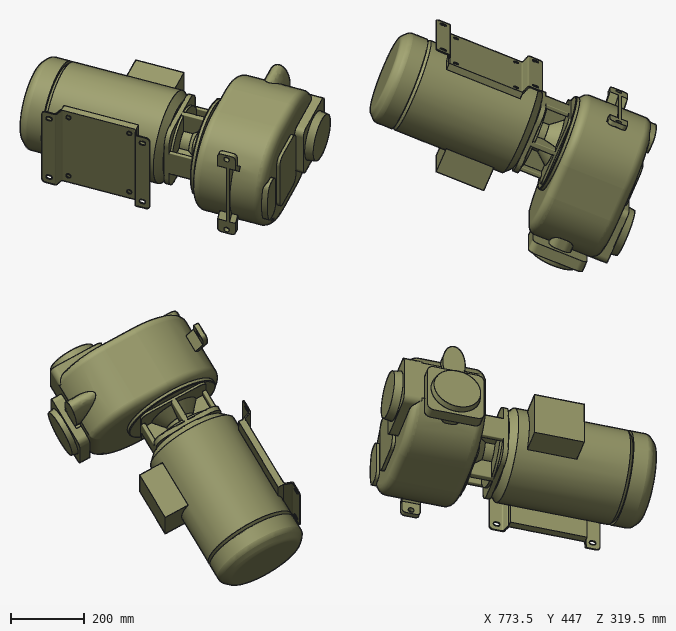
import cadquery as cq
import math


MOTOR_RADIUS = 131.0
MOTOR_LENGTH = 416.0
FREE_END_CHAMFER, FREE_END_ROUND = 21.0, 18.5
DRIVE_END_CHAMFER = 20.0
GROOVE_START, GROOVE_END, GROOVE_DEPTH = 71.0, 80.5, 8.5
BOX_START, BOX_END = 226.0, 366.0
BOX_WIDTH = 140.0
BOX_FACE_Y = 182.0

SUPPORT_Y = -159.0
BASE_HEIGHT = 2 * MOTOR_RADIUS
BASE_MID_X = 240.0
SHEET = 3.0
DECK_Y = -136.0
BLOCK_BACK_Y = -117.0
BLOCK_HALF_LENGTH = 108.0
BASE_HALF_LENGTH = 156.0
LEG_FOOT_OFFSET = 117.5
LEG_DECK_OFFSET = 110.0
BEND_RADIUS = 5.0
FOOT_CORNER = 11.5
BASE_HOLE_Z = 108.0
DECK_HOLE_OFFSET, DECK_HOLE_DIAMETER = 88.0, 14.0
SLOT_OFFSET, SLOT_LENGTH, SLOT_WIDTH = 135.0, 18.0, 13.0

BRACKET_HALF = 100.5
MOTOR_PLATE_THICKNESS, MOTOR_PLATE_CORNER = 14.0, 40.0
LOCATING_RING_RADIUS, LOCATING_RING_END = 97.5, 437.0
PAD_START, PAD_CORNER = 497.0, 23.0
DISC_START, DISC_RADIUS, DISC_CHAMFER = 504.0, 135.0, 2.0
HUB_RADIUS, HUB_END = 42.0, 464.0
CONE_END_RADIUS = 76.0
RIB_THICKNESS, RIB_ROUND = 15.0, 2.0
SIDE_PLATE_THICKNESS, SIDE_PLATE_WIDTH = 11.0, 77.0

CASING_START, CASING_END = 515.0, 725.0
CASING_RADIUS = 157.0
CASING_Z = -17.0
CASING_BACK_CENTER_Y = 97.5
CASING_FLAT_Y = 240.5
CASING_ROUND = 25.0

FLANGE_SIZE, FLANGE_CORNER = 159.0, 18.5
SPIGOT_BASE_RADIUS, SPIGOT_END_RADIUS = 70.0, 66.0
SUCTION_Y, SUCTION_FACE_X, SUCTION_END_X = 161.0, 750.0, 773.5
DISCHARGE_X, DISCHARGE_Z = 614.0, -67.0
DISCHARGE_FACE_Y, DISCHARGE_END_Y = 271.5, 288.0

DUCT_WIDTH, DUCT_END_Y = 63.5, 255.0
DUCT_TOP_Z, CROWN_HALF_HEIGHT = 117.5, 62.0
DUCT_SHOULDER_Z, DUCT_BOTTOM_Z, DUCT_BOTTOM_ROUND = 13.0, -128.0, 22.5

PAD_FACE_X = 734.0
COVER_Y, COVER_WIDTH, COVER_HEIGHT, COVER_CORNER = 6.0, 122.0, 181.0, 23.0
LOWER_PAD_RADIUS, LOWER_PAD_TOP_Y, LOWER_PAD_HEIGHT, LOWER_PAD_CORNER = 150.0, -87.5, 131.5, 22.0

FOOT_X, FOOT_WIDTH, FOOT_THICKNESS, FOOT_LEG_REACH = 619.5, 52.0, 14.0, 35.0
FOOT_BEND_Z, FOOT_BEND_ANGLE = 98.0, 45.0
UPPER_FOOT_END_Z, LOWER_FOOT_END_Z = 145.5, -143.0
FOOT_HOLE_Z, FOOT_HOLE_DIAMETER = 130.0, 15.5
WEB_X, WEB_THICKNESS, WEB_BACK_Y = 623.5, 9.0, -108.0

INSIDE_CASING_X = 657.5
INSIDE_CASING_Y = 155.0


def box(x_range, y_range, z_range):
    """Box spanning the given limits along X, Y and Z."""
    lows, highs = zip(x_range, y_range, z_range)
    lengths = [high - low for low, high in zip(lows, highs)]
    return cq.Workplane("XY").box(*lengths, centered=False).translate(lows)


def disc(x_start, x_end, radius):
    """Cylinder along X, centred on the motor axis."""
    return cq.Workplane("YZ", origin=(x_start, 0, 0)).circle(radius).extrude(x_end - x_start)


def rounded_plate(x_start, x_end, y, z, width, height, corner):
    """Plate across X with its four corners rounded."""
    plate = cq.Workplane("YZ", origin=(x_start, y, z)).rect(width, height).extrude(x_end - x_start)
    return plate.edges("|X").fillet(corner)


def motor():
    body = disc(0, MOTOR_LENGTH, MOTOR_RADIUS)
    body = body.faces("<X").edges().chamfer(FREE_END_CHAMFER)
    free_end = cq.selectors.BoxSelector(
        (-GROOVE_START, -MOTOR_RADIUS, -MOTOR_RADIUS), (GROOVE_START, MOTOR_RADIUS, MOTOR_RADIUS)
    )
    body = body.edges("%CIRCLE").edges(free_end).fillet(FREE_END_ROUND)
    body = body.faces(">X").edges().chamfer(DRIVE_END_CHAMFER)
    groove_profile = [
        (GROOVE_START, MOTOR_RADIUS - GROOVE_DEPTH),
        (GROOVE_START, MOTOR_RADIUS),
        (GROOVE_END, MOTOR_RADIUS),
    ]
    groove = cq.Workplane("XY").polyline(groove_profile).close().revolve(360, (0, 0, 0), (1, 0, 0))
    terminal_box = box((BOX_START, BOX_END), (0, BOX_FACE_Y), (-BOX_WIDTH / 2, BOX_WIDTH / 2))
    return body.cut(groove).union(terminal_box)


def base_foot():
    """One bent foot of the base sheet, on the +X side of the base centre."""
    points = [
        (0, DECK_Y),
        (LEG_DECK_OFFSET - SHEET, DECK_Y),
        (LEG_FOOT_OFFSET - SHEET, SUPPORT_Y),
        (BASE_HALF_LENGTH, SUPPORT_Y),
        (BASE_HALF_LENGTH, SUPPORT_Y + SHEET),
        (LEG_FOOT_OFFSET, SUPPORT_Y + SHEET),
        (LEG_DECK_OFFSET, DECK_Y + SHEET),
        (0, DECK_Y + SHEET),
    ]
    sheet = cq.Workplane("XY", origin=(0, 0, -BASE_HEIGHT / 2)).polyline(points).close().extrude(BASE_HEIGHT)
    margin = 2 * SHEET
    bends = cq.selectors.BoxSelector(
        (LEG_DECK_OFFSET - margin, SUPPORT_Y - margin, -margin),
        (LEG_FOOT_OFFSET + margin, DECK_Y + margin, margin),
    )
    sheet = sheet.edges("|Z").edges(bends).fillet(BEND_RADIUS)
    return sheet.faces(">X").edges("|Y").fillet(FOOT_CORNER)


def motor_base():
    foot = base_foot()
    block = box(
        (-BLOCK_HALF_LENGTH, BLOCK_HALF_LENGTH), (DECK_Y, BLOCK_BACK_Y), (-BASE_HEIGHT / 2, BASE_HEIGHT / 2)
    )
    base = block.union(foot).union(foot.mirror("YZ"))
    front = cq.Workplane("XZ", origin=(0, SUPPORT_Y, 0))
    signs = [(i, j) for i in (-1, 1) for j in (-1, 1)]
    slots = front.pushPoints([(i * SLOT_OFFSET, j * BASE_HOLE_Z) for i, j in signs])
    slots = slots.slot2D(SLOT_LENGTH, SLOT_WIDTH).extrude(-SHEET)
    holes = front.pushPoints([(i * DECK_HOLE_OFFSET, j * BASE_HOLE_Z) for i, j in signs])
    holes = holes.circle(DECK_HOLE_DIAMETER / 2).extrude(SUPPORT_Y - DECK_Y - SHEET)
    return base.cut(slots).cut(holes).translate((BASE_MID_X, 0, 0))


def bracket():
    side = 2 * BRACKET_HALF
    plate_end = MOTOR_LENGTH + MOTOR_PLATE_THICKNESS
    body = rounded_plate(MOTOR_LENGTH, plate_end, 0, 0, side, side, MOTOR_PLATE_CORNER)
    body = body.union(disc(plate_end, LOCATING_RING_END, LOCATING_RING_RADIUS))
    body = body.union(rounded_plate(PAD_START, DISC_START, 0, 0, side, side, PAD_CORNER))
    mounting_disc = disc(DISC_START, CASING_START, DISC_RADIUS)
    body = body.union(mounting_disc.faces("<X").edges().chamfer(DISC_CHAMFER))
    hub_profile = [
        (MOTOR_LENGTH, 0),
        (MOTOR_LENGTH, HUB_RADIUS),
        (HUB_END, HUB_RADIUS),
        (DISC_START, CONE_END_RADIUS),
        (DISC_START, 0),
    ]
    body = body.union(cq.Workplane("XY").polyline(hub_profile).close().revolve(360, (0, 0, 0), (1, 0, 0)))
    span = (MOTOR_LENGTH, DISC_START)
    full = (-BRACKET_HALF, BRACKET_HALF)
    thin = (-RIB_THICKNESS / 2, RIB_THICKNESS / 2)
    upright_rib = box(span, thin, full).edges("|X").fillet(RIB_ROUND)
    body = body.union(upright_rib).union(box(span, full, thin))
    plate_span = (-SIDE_PLATE_WIDTH / 2, SIDE_PLATE_WIDTH / 2)
    plate = box(span, (-BRACKET_HALF, SIDE_PLATE_THICKNESS - BRACKET_HALF), plate_span)
    plate = plate.edges("|X").fillet(RIB_ROUND)
    return body.union(plate).union(plate.mirror("XZ"))


def casing():
    """Slot-shaped casing with its back cut flat and its rim rounded on both faces."""
    half_flat = math.sqrt(CASING_RADIUS**2 - (CASING_FLAT_Y - CASING_BACK_CENTER_Y) ** 2)
    arc_middle = (math.pi / 2 + math.asin(half_flat / CASING_RADIUS)) / 2
    middle_y = CASING_BACK_CENTER_Y + CASING_RADIUS * math.cos(arc_middle)
    middle_z = CASING_RADIUS * math.sin(arc_middle)
    outline = (
        cq.Workplane("YZ", origin=(CASING_START, 0, CASING_Z))
        .moveTo(0, CASING_RADIUS)
        .lineTo(CASING_BACK_CENTER_Y, CASING_RADIUS)
        .threePointArc((middle_y, middle_z), (CASING_FLAT_Y, half_flat))
        .lineTo(CASING_FLAT_Y, -half_flat)
        .threePointArc((middle_y, -middle_z), (CASING_BACK_CENTER_Y, -CASING_RADIUS))
        .lineTo(0, -CASING_RADIUS)
        .threePointArc((-CASING_RADIUS, 0), (0, CASING_RADIUS))
        .close()
    )
    body = outline.extrude(CASING_END - CASING_START)
    return body.faces("<X or >X").edges().fillet(CASING_ROUND)


def port(plane, origin, flange_depth, spigot_length):
    """Square flange behind the origin with a tapered spigot in front of it."""
    face = cq.Workplane(cq.Plane(origin=origin, xDir=plane.xDir, normal=plane.zDir))
    flange = face.rect(FLANGE_SIZE, FLANGE_SIZE).extrude(-flange_depth)
    flange = flange.edges(cq.selectors.ParallelDirSelector(plane.zDir)).fillet(FLANGE_CORNER)
    taper = math.degrees(math.atan((SPIGOT_BASE_RADIUS - SPIGOT_END_RADIUS) / spigot_length))
    return flange.union(face.circle(SPIGOT_BASE_RADIUS).extrude(spigot_length, taper=taper))


def ports():
    suction = port(
        cq.Plane.named("YZ"),
        (SUCTION_FACE_X, SUCTION_Y, CASING_Z),
        SUCTION_FACE_X - CASING_END + CASING_ROUND,
        SUCTION_END_X - SUCTION_FACE_X,
    )
    discharge = port(
        cq.Plane.named("ZX"),
        (DISCHARGE_X, DISCHARGE_FACE_Y, DISCHARGE_Z),
        DISCHARGE_FACE_Y - CASING_FLAT_Y,
        DISCHARGE_END_Y - DISCHARGE_FACE_Y,
    )
    return suction.union(discharge)


def duct():
    """Box-shaped lower duct with an oval crown above it."""
    half = DUCT_WIDTH / 2
    body = box(
        (DISCHARGE_X - half, DISCHARGE_X + half),
        (INSIDE_CASING_Y, DUCT_END_Y),
        (DUCT_BOTTOM_Z, DUCT_SHOULDER_Z),
    )
    body = body.faces("<Z").edges("|Y").fillet(DUCT_BOTTOM_ROUND)
    crown = cq.Workplane("XZ", origin=(DISCHARGE_X, INSIDE_CASING_Y, DUCT_TOP_Z - CROWN_HALF_HEIGHT))
    return body.union(crown.ellipse(half, CROWN_HALF_HEIGHT).extrude(INSIDE_CASING_Y - DUCT_END_Y))


def suction_face_pads():
    cover = rounded_plate(
        INSIDE_CASING_X, PAD_FACE_X, COVER_Y, CASING_Z, COVER_WIDTH, COVER_HEIGHT, COVER_CORNER
    )
    half = LOWER_PAD_HEIGHT / 2
    lower = box(
        (INSIDE_CASING_X, PAD_FACE_X),
        (-LOWER_PAD_RADIUS, LOWER_PAD_TOP_Y),
        (CASING_Z - half, CASING_Z + half),
    )
    lower = lower.intersect(disc(INSIDE_CASING_X, PAD_FACE_X, LOWER_PAD_RADIUS).translate((0, 0, CASING_Z)))
    return cover.union(lower.edges("|X").fillet(LOWER_PAD_CORNER))


def casing_foot(end_z):
    """Upright lug with a leg bent back into the casing."""
    outward = math.copysign(1, end_z)
    bend_z = outward * FOOT_BEND_Z
    drop = FOOT_LEG_REACH / math.tan(math.radians(FOOT_BEND_ANGLE))
    bend_shift = outward * FOOT_THICKNESS * math.tan(math.radians(FOOT_BEND_ANGLE / 2))
    back_y = SUPPORT_Y + FOOT_THICKNESS
    points = [
        (SUPPORT_Y, end_z),
        (SUPPORT_Y, bend_z),
        (SUPPORT_Y + FOOT_LEG_REACH, bend_z - outward * drop),
        (back_y + FOOT_LEG_REACH, bend_z + bend_shift - outward * drop),
        (back_y, bend_z + bend_shift),
        (back_y, end_z),
    ]
    start_x = FOOT_X - FOOT_WIDTH / 2
    lug = cq.Workplane("YZ", origin=(start_x, 0, 0)).polyline(points).close().extrude(FOOT_WIDTH)
    lug = lug.faces(">Z" if outward > 0 else "<Z").edges("|Y").fillet(FOOT_CORNER)
    hole = cq.Workplane("XZ", origin=(FOOT_X, SUPPORT_Y, outward * FOOT_HOLE_Z))
    return lug.cut(hole.circle(FOOT_HOLE_DIAMETER / 2).extrude(-FOOT_THICKNESS))


def casing_feet():
    back_half = FOOT_BEND_Z - (WEB_BACK_Y - SUPPORT_Y) / math.tan(math.radians(FOOT_BEND_ANGLE))
    points = [
        (SUPPORT_Y, -FOOT_BEND_Z),
        (SUPPORT_Y, FOOT_BEND_Z),
        (WEB_BACK_Y, back_half),
        (WEB_BACK_Y, -back_half),
    ]
    web = cq.Workplane("YZ", origin=(WEB_X - WEB_THICKNESS / 2, 0, 0)).polyline(points).close()
    web = web.extrude(WEB_THICKNESS)
    upper = casing_foot(UPPER_FOOT_END_Z)
    lower = casing_foot(LOWER_FOOT_END_Z)
    return web.union(upper).union(lower)


result = motor()
for component in (motor_base(), bracket(), casing(), ports(), duct(), suction_face_pads(), casing_feet()):
    result = result.union(component)